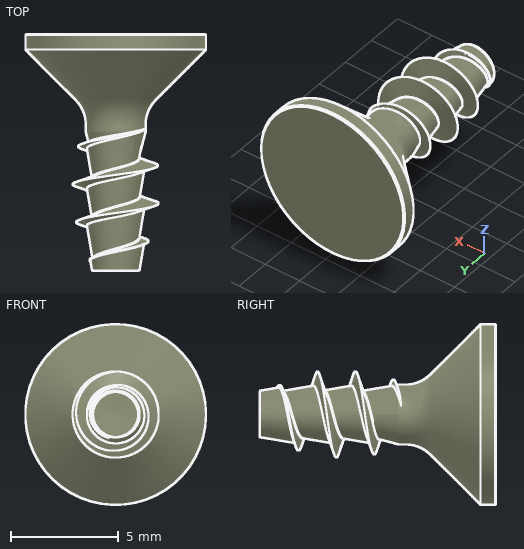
import cadquery as cq
import math

LENGTH = 11.0

HEAD_RADIUS = 4.2
RIM_DEPTH = 0.73
RIM_CHAMFER = 0.05
NECK_RADIUS = 1.4
NECK_FILLET = 1.61
NECK_LENGTH = 0.34
SINK_ANGLE = math.radians(45)

RAMP_SLOPE = 0.26
CORE_SLOPE = 0.17
CORE_MIN_RADIUS = 1.07
CORE_MAX_RADIUS = 1.34
TIP_RADIUS = 1.1
TIP_CHAMFER = 0.02
TIP_DISH_DEPTH = 0.07

PITCH = 1.77
THREAD_PHASE_DEPTH = 6.09
RIDGE_START = 3.96
CREST_RADIUS = 2.0
LEAD_IN_RADIUS = 1.56
LEAD_IN_DEPTH = 4.52
LEAD_IN_SLOPE = 0.26
FADE_IN_SLOPE = 1.5
RUN_OUT_DEPTH = 8.27
RUN_OUT_SLOPE = 0.35
FLANK_SLOPE = 0.3
MIN_CREST_HEIGHT = 0.01
RIDGE_ROOT_RADIUS = 1.01
TURN_GAP = 0.01
MIN_LAND_WIDTH = 0.09
RIDGE_END_GAP = 0.03
SEGMENTS_PER_TURN = 4
STATIONS_PER_SEGMENT = 6

fillet_drop = NECK_FILLET * (1 - math.cos(SINK_ANGLE))
cone_end_radius = NECK_RADIUS + fillet_drop
cone_end = RIM_DEPTH + (HEAD_RADIUS - cone_end_radius) / math.tan(SINK_ANGLE)
neck_start = cone_end + NECK_FILLET * math.sin(SINK_ANGLE)
neck_end = neck_start + NECK_LENGTH
ridge_limit = LENGTH - RIDGE_END_GAP


def make_body():
    """Head, neck and plain core with a dished, chamfered tip."""
    half_angle = SINK_ANGLE / 2
    fillet_mid = (
        NECK_RADIUS + NECK_FILLET * (1 - math.cos(half_angle)),
        -(neck_start - NECK_FILLET * math.sin(half_angle)),
    )
    ramp_end = neck_end + (NECK_RADIUS - CORE_MIN_RADIUS) / RAMP_SLOPE
    outline = (
        cq.Workplane("XY")
        .lineTo(HEAD_RADIUS - RIM_CHAMFER, 0)
        .lineTo(HEAD_RADIUS, -RIM_CHAMFER)
        .lineTo(HEAD_RADIUS, -RIM_DEPTH)
        .lineTo(cone_end_radius, -cone_end)
        .threePointArc(fillet_mid, (NECK_RADIUS, -neck_start))
        .lineTo(NECK_RADIUS, -neck_end)
        .lineTo(CORE_MIN_RADIUS, -ramp_end)
        .lineTo(CORE_MIN_RADIUS, -(LENGTH - TIP_CHAMFER))
        .lineTo(CORE_MIN_RADIUS - TIP_CHAMFER, -LENGTH)
        .lineTo(0, -(LENGTH - TIP_DISH_DEPTH))
        .close()
    )
    return outline.revolve(360, (0, 0, 0), (0, 1, 0))


def tip_cone_radius(depth):
    return TIP_RADIUS + CORE_SLOPE * (LENGTH - depth)


def helix_point(depth, radius, offset):
    angle = 2 * math.pi * (depth - THREAD_PHASE_DEPTH) / PITCH
    return cq.Vector(radius * math.cos(angle), -(depth + offset), radius * math.sin(angle))


def helical_solid(start, end, section):
    """Solid following the thread; section(depth) gives (radius, depth offset) corners."""

    def corners(depth):
        return [helix_point(depth, radius, offset) for radius, offset in section(depth)]

    segments = math.ceil((end - start) / PITCH * SEGMENTS_PER_TURN)
    step = (end - start) / (segments * STATIONS_PER_SEGMENT)
    faces = []
    for segment in range(segments):
        first = segment * STATIONS_PER_SEGMENT
        stations = [corners(start + step * (first + i)) for i in range(STATIONS_PER_SEGMENT + 1)]
        rails = [cq.Edge.makeSpline(list(points)) for points in zip(*stations)]
        for rail, next_rail in zip(rails, rails[1:] + rails[:1]):
            faces.append(cq.Face.makeRuledSurface(rail, next_rail))
    for depth in (start, end):
        faces.append(cq.Face.makeFromWires(cq.Wire.makePolygon(corners(depth), close=True)))
    return cq.Workplane(obj=cq.Solid.makeSolid(cq.Shell.makeShell(faces)).fix())


def crest_radius(depth):
    lead_in_rise = depth - LEAD_IN_DEPTH
    return min(
        CREST_RADIUS,
        LEAD_IN_RADIUS + LEAD_IN_SLOPE * lead_in_rise,
        LEAD_IN_RADIUS + FADE_IN_SLOPE * lead_in_rise,
        CREST_RADIUS - RUN_OUT_SLOPE * (depth - RUN_OUT_DEPTH),
    )


def land_radius(depth):
    return min(CORE_MAX_RADIUS, tip_cone_radius(depth))


def ridge_crest(depth):
    return max(crest_radius(depth), land_radius(depth) + MIN_CREST_HEIGHT)


def flank_offset(depth, radius):
    return FLANK_SLOPE * (ridge_crest(depth) - radius)


def ridge_section(depth):
    """Sharp thread followed by a core taper that reaches down to the next turn."""
    land = land_radius(depth)
    root_offset = flank_offset(depth, RIDGE_ROOT_RADIUS)
    land_offset = flank_offset(depth, land)
    next_turn = PITCH - flank_offset(depth + PITCH, RIDGE_ROOT_RADIUS)
    end_offset = min(next_turn - TURN_GAP, ridge_limit - depth)
    land_end = land - CORE_SLOPE * (end_offset - land_offset)
    return [
        (RIDGE_ROOT_RADIUS, -root_offset),
        (ridge_crest(depth), 0),
        (land, land_offset),
        (land_end, end_offset),
        (RIDGE_ROOT_RADIUS, end_offset),
    ]


def make_ridge():
    return helical_solid(RIDGE_START, ridge_limit - MIN_LAND_WIDTH, ridge_section)


result = make_body().union(make_ridge())